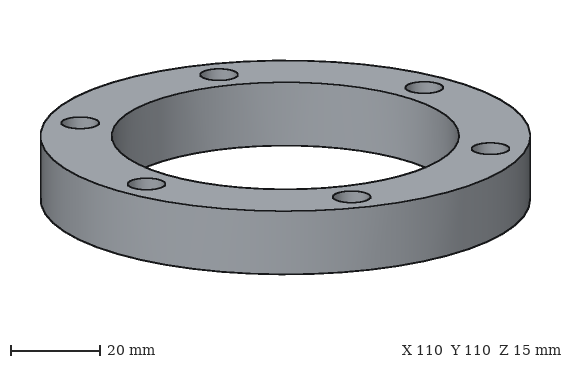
import cadquery as cq

outer_diameter = 110.0
bore_diameter = 78.0
thickness = 15.0

hole_count = 6
hole_diameter = 8.5
bolt_circle_radius = (outer_diameter + bore_diameter) / 4
first_hole_angle = 90

ring = (
    cq.Workplane("XY")
    .circle(outer_diameter / 2)
    .circle(bore_diameter / 2)
    .extrude(thickness)
)

bolt_holes = (
    cq.Workplane("XY")
    .polarArray(bolt_circle_radius, first_hole_angle, 360, hole_count)
    .circle(hole_diameter / 2)
    .extrude(thickness)
)

result = ring.cut(bolt_holes)